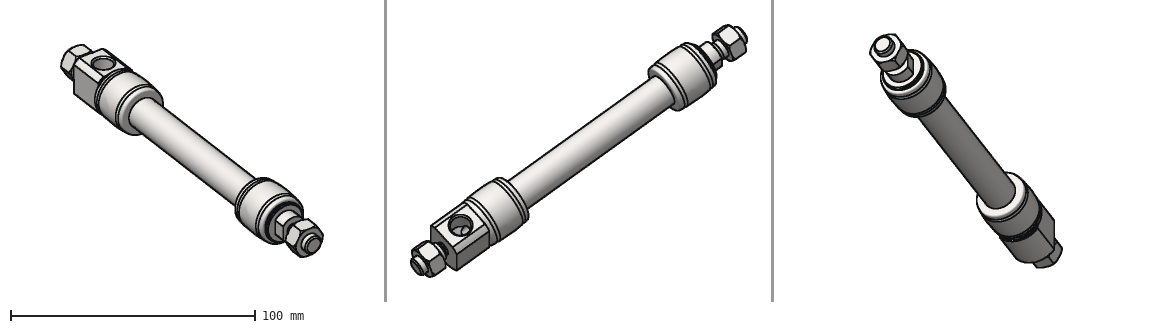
import cadquery as cq
import math

length = 172.0
left_end = -length / 2
right_end = length / 2
stud_length = 14.6

thread_diameter = 8.0
tip_diameter = 6.7
neck_diameter = 6.0
neck_length = 0.9

nut_flats = 13.0
nut_thickness = 7.0
nut_face_diameter = 13.5
nut_setback = 3.3

block_length = 17.2
block_diameter = 22.2
block_top_height = 9.5
block_width = 17.0

port_offset = 9.0
port_diameter = 8.6
port_mouth_diameter = 10.0
port_floor_depth = 4.1
passage_diameter = 4.8
passage_length = 8.6

cap_length = 19.5
cap_diameter = 22.5
cap_end_diameter = 21.0
cap_edge_fillet = 0.7
groove_distance = 6.7
groove_width = 1.5
groove_depth = 0.25

tube_diameter = 14.0

collar_diameter = 18.0
collar_length = 1.5
collar_chamfer = 0.5
rod_diameter = 12.0
rod_flat_width = 10.0
rod_length = 5.7

block_start = left_end + stud_length
left_cap_start = block_start + block_length
left_cap_end = left_cap_start + cap_length
rod_end = right_end - stud_length
rod_start = rod_end - rod_length
right_cap_end = rod_start - collar_length
right_cap_start = right_cap_end - cap_length


def rod_along_x(start, end, diameter):
    """Plain round bar on the X axis."""
    return cq.Workplane("YZ", origin=(start, 0, 0)).circle(diameter / 2).extrude(end - start)


def revolve_about_x(profile):
    return profile.close().revolve(360, (0, 0, 0), (1, 0, 0))


def make_stud(tip, inward):
    """Stud with a chamfered tip and a necked root; inward is +1 or -1 along X."""
    tip_radius = tip_diameter / 2
    thread_radius = thread_diameter / 2
    neck_radius = neck_diameter / 2
    root = tip + inward * stud_length
    taper_end = root - inward * neck_length
    taper_start = taper_end - inward * (thread_radius - neck_radius)
    return revolve_about_x(
        cq.Workplane("XY")
        .moveTo(tip, 0)
        .lineTo(tip, tip_radius)
        .lineTo(tip + inward * (thread_radius - tip_radius), thread_radius)
        .lineTo(taper_start, thread_radius)
        .lineTo(taper_end, neck_radius)
        .lineTo(root, neck_radius)
        .lineTo(root, 0)
    )


def make_nut(start):
    """Hexagon nut with flats facing +Z and -Z and chamfered corners."""
    corner_diameter = nut_flats / math.cos(math.pi / 6)
    corner_chamfer = (corner_diameter - nut_face_diameter) / 2
    hexagon = (
        cq.Workplane("YZ", origin=(start, 0, 0))
        .polygon(6, corner_diameter)
        .extrude(nut_thickness)
    )
    envelope = rod_along_x(start, start + nut_thickness, corner_diameter)
    envelope = envelope.faces("<X or >X").chamfer(corner_chamfer)
    bore = rod_along_x(start, start + nut_thickness, thread_diameter)
    return hexagon.intersect(envelope).cut(bore)


def crown_height(offset):
    """Radius of the crowned surface at an axial offset from the middle of a cap."""
    crown_drop = (cap_diameter - cap_end_diameter) / 2
    crown_radius = ((cap_length / 2) ** 2 + crown_drop ** 2) / (2 * crown_drop)
    return cap_diameter / 2 - crown_radius + math.sqrt(crown_radius ** 2 - offset ** 2)


def make_cap(start):
    """Barrel-shaped cap with a shallow round groove near each end."""
    end = start + cap_length
    middle = start + cap_length / 2
    inner_edge = groove_distance - groove_width / 2
    outer_edge = groove_distance + groove_width / 2
    lip_middle = (outer_edge + cap_length / 2) / 2

    def crown_point(offset):
        return (middle + offset, crown_height(offset))

    def groove_floor(side):
        return (middle + side * groove_distance, crown_height(groove_distance) - groove_depth)

    cap = revolve_about_x(
        cq.Workplane("XY")
        .moveTo(start, 0)
        .lineTo(start, cap_end_diameter / 2)
        .threePointArc(crown_point(-lip_middle), crown_point(-outer_edge))
        .threePointArc(groove_floor(-1), crown_point(-inner_edge))
        .threePointArc(crown_point(0), crown_point(inner_edge))
        .threePointArc(groove_floor(1), crown_point(outer_edge))
        .threePointArc(crown_point(lip_middle), (end, cap_end_diameter / 2))
        .lineTo(end, 0)
    )
    return cap.faces("<X or >X").edges().fillet(cap_edge_fillet)


def make_port_block():
    """Flattened block between the left stud and the left cap."""
    block = rod_along_x(block_start, left_cap_start, block_diameter)
    envelope_height = block_diameter / 2 + block_top_height
    envelope = cq.Workplane("XY").box(
        block_length, block_width, envelope_height, centered=(False, True, False)
    ).translate((block_start, 0, -block_diameter / 2))
    return block.intersect(envelope)


def make_port():
    """Cutter for the port and the passage from its cone into the cap."""
    radius = port_diameter / 2
    mouth_radius = port_mouth_diameter / 2
    port_x = block_start + port_offset
    drill = (
        cq.Workplane("XZ")
        .moveTo(0, -port_floor_depth)
        .lineTo(radius, radius - port_floor_depth)
        .lineTo(radius, block_top_height - (mouth_radius - radius))
        .lineTo(mouth_radius, block_top_height)
        .lineTo(0, block_top_height)
        .close()
        .revolve(360, (0, 0, 0), (0, 1, 0))
        .translate((port_x, 0, 0))
    )
    return drill.union(rod_along_x(port_x, port_x + passage_length, passage_diameter))


def make_rod():
    """Chamfered guide collar and the rod that leaves it."""
    collar = rod_along_x(right_cap_end, rod_start, collar_diameter)
    collar = collar.faces(">X").chamfer(collar_chamfer)
    rod = rod_along_x(rod_start, rod_end, rod_diameter)
    flats = cq.Workplane("XY").box(
        rod_length, rod_flat_width, rod_diameter, centered=(False, True, True)
    ).translate((rod_start, 0, 0))
    return collar.union(rod.intersect(flats))


def make_cylinder():
    cylinder = rod_along_x(left_cap_end, right_cap_start, tube_diameter)
    for cap_start in (left_cap_start, right_cap_start):
        cylinder = cylinder.union(make_cap(cap_start))
    cylinder = cylinder.union(make_port_block())
    cylinder = cylinder.union(make_rod())
    cylinder = cylinder.union(make_stud(left_end, 1))
    cylinder = cylinder.union(make_stud(right_end, -1))
    return cylinder.cut(make_port())


cylinder = make_cylinder()
nut_starts = (left_end + nut_setback, right_end - nut_setback - nut_thickness)
nuts = [make_nut(start) for start in nut_starts]

result = cq.Compound.makeCompound([cylinder.val(), *[nut.val() for nut in nuts]])